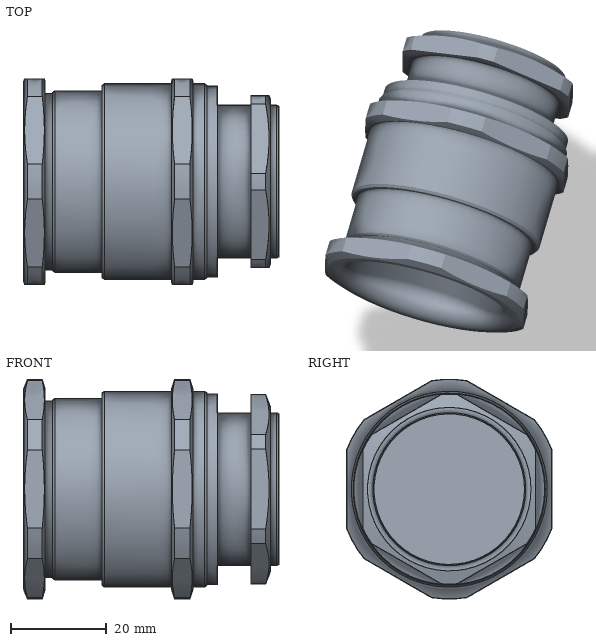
import cadquery as cq
import math

overall_length = 53.42

neck_radius = 18.5
gland_radius = 19.0
sleeve_radius = 20.5
flange_radius = 19.97
tail_radius = 16.0

gland_start = 6.05
gland_lead_length = 0.5
gland_lead_drop = 0.35
sleeve_start = 16.4
sleeve_end = 38.4
sleeve_chamfer_length = 0.55
sleeve_chamfer_drop = 0.4
flange_end = 40.55
tail_chamfer_length = 0.5
tail_chamfer_drop = 0.25

hex_sides = 6

large_across_flats = 43.0
large_corner_radius = 23.0
large_face_radius = 20.95
entry_hex_length = 4.5
entry_front_bevel = 0.8
entry_rear_bevel = 0.6
body_hex_start = 30.95
body_hex_length = entry_hex_length
body_hex_bevel = 0.65

small_across_flats = 36.0
small_corner_radius = 19.85
small_face_radius = 17.1
small_hex_start = 47.55
small_hex_length = 4.15
small_hex_bevel = 1.05

bore_radius = 16.75
bore_depth = 16.6
mouth_radius = 19.75


def revolve_about_x(profile):
    """Turn an (axial, radial) profile about the X axis."""
    return profile.close().revolve(360, (0, 0, 0), (1, 0, 0))


def turned_body():
    profile = cq.Workplane("XY").polyline([
        (0, 0),
        (0, neck_radius),
        (gland_start, neck_radius),
        (gland_start, gland_radius - gland_lead_drop),
        (gland_start + gland_lead_length, gland_radius),
        (sleeve_start, gland_radius),
        (sleeve_start, sleeve_radius - sleeve_chamfer_drop),
        (sleeve_start + sleeve_chamfer_length, sleeve_radius),
        (sleeve_end - sleeve_chamfer_length, sleeve_radius),
        (sleeve_end, sleeve_radius - sleeve_chamfer_drop),
        (sleeve_end, flange_radius),
        (flange_end, flange_radius),
        (flange_end, tail_radius),
        (overall_length - tail_chamfer_length, tail_radius),
        (overall_length, tail_radius - tail_chamfer_drop),
        (overall_length, 0),
    ])
    return revolve_about_x(profile)


def wrench_hex(start, length, across_flats, corner_radius, face_radius, front_bevel, rear_bevel):
    """Hexagon with flats facing +/-Y, corners turned down and end faces bevelled.

    A bevel of zero leaves that end square.
    """
    end = start + length
    outline = [(start, 0), (start, face_radius if front_bevel else corner_radius)]
    if front_bevel:
        outline.append((start + front_bevel, corner_radius))
    outline.append((end - rear_bevel, corner_radius))
    if rear_bevel:
        outline.append((end, face_radius))
    outline.append((end, 0))
    blank = revolve_about_x(cq.Workplane("XY").polyline(outline))

    across_corners = across_flats / math.cos(math.pi / hex_sides)
    half_side_turn = 180 / hex_sides
    prism = (
        cq.Workplane("YZ", origin=(start, 0, 0))
        .transformed(rotate=(0, 0, half_side_turn))
        .polygon(hex_sides, across_corners)
        .extrude(length)
    )
    return blank.intersect(prism)


def entry_bore():
    """Blind bore whose mouth flares outward along a quarter circle."""
    flare = mouth_radius - bore_radius
    arc_middle = flare * (1 - math.sqrt(0.5))
    profile = (
        cq.Workplane("XY")
        .moveTo(0, 0)
        .lineTo(0, mouth_radius)
        .threePointArc((arc_middle, bore_radius + arc_middle), (flare, bore_radius))
        .lineTo(bore_depth, bore_radius)
        .lineTo(bore_depth, 0)
    )
    return revolve_about_x(profile)


entry_hex = wrench_hex(
    0, entry_hex_length, large_across_flats, large_corner_radius, large_face_radius,
    entry_front_bevel, entry_rear_bevel,
)
body_hex = wrench_hex(
    body_hex_start, body_hex_length, large_across_flats, large_corner_radius, large_face_radius,
    body_hex_bevel, body_hex_bevel,
)
tail_hex = wrench_hex(
    small_hex_start, small_hex_length, small_across_flats, small_corner_radius, small_face_radius,
    0, small_hex_bevel,
)

result = turned_body().union(entry_hex).union(body_hex).union(tail_hex).cut(entry_bore())